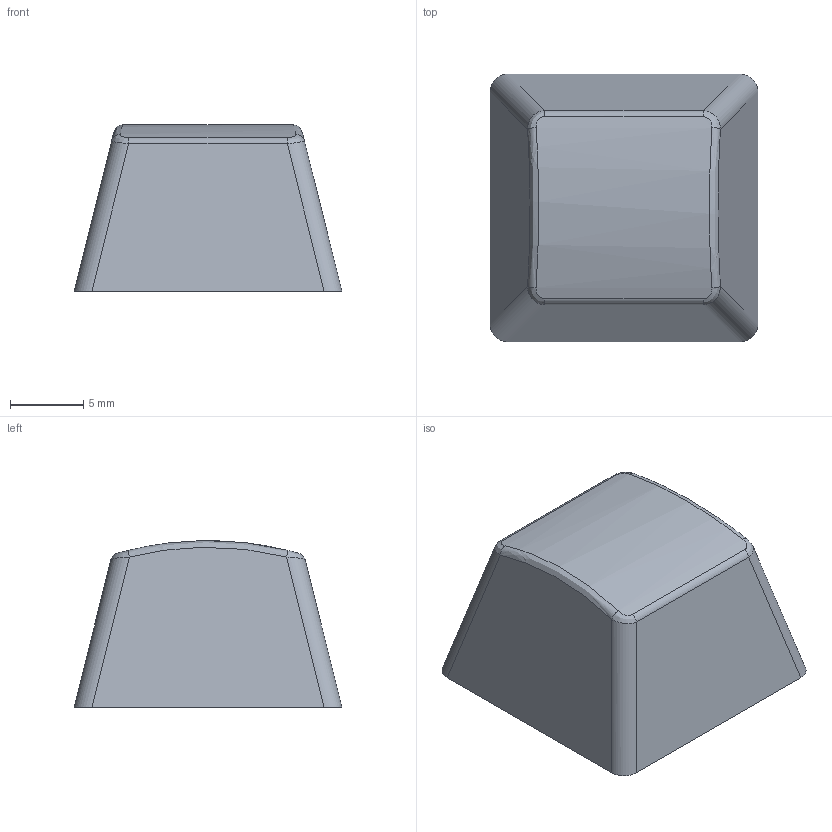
import cadquery as cq

base_side = 18.3
height = 11.4
draft_angle = 14.0
corner_radius = 1.25
crown_radius = 22.5
top_edge_radius = 0.6


def tapered_body():
    """Square frustum, centred on Z, with its four slanted corners rounded."""
    frustum = cq.Workplane("XY").rect(base_side, base_side).extrude(height, taper=draft_angle)
    return frustum.edges("not #Z").fillet(corner_radius)


def crown_cylinder():
    """Cylinder along X whose highest line touches the full height of the cap."""
    return (
        cq.Workplane("YZ")
        .center(0, height - crown_radius)
        .circle(crown_radius)
        .extrude(base_side / 2, both=True)
    )


def keycap():
    """Tapered body topped by a cylindrical crown with a rounded rim."""
    crowned = tapered_body().intersect(crown_cylinder())
    crown_rim = crowned.faces(">Z").edges()
    return crown_rim.fillet(top_edge_radius)


result = keycap()